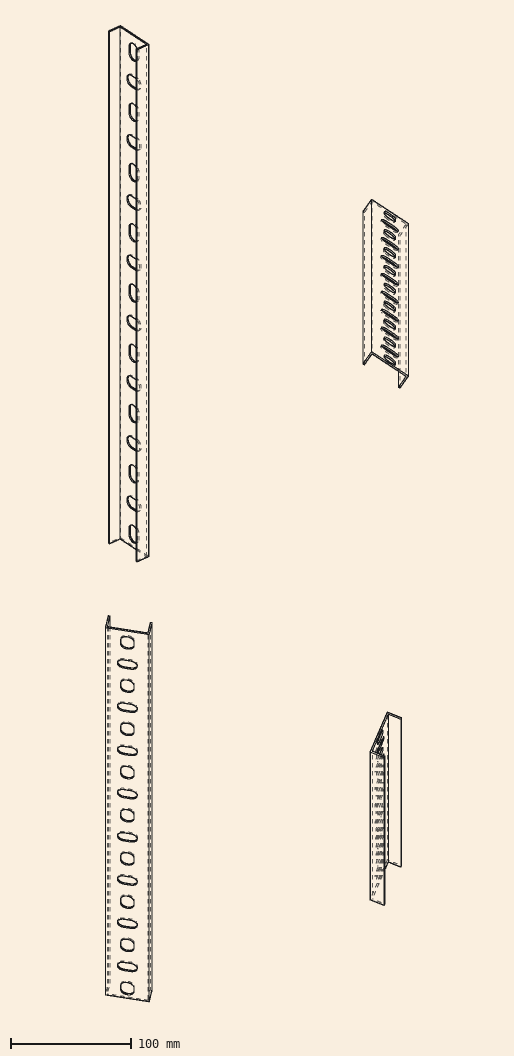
import cadquery as cq

length = 510.0
width = 37.0
depth = 13.0
thickness = 1.5

slot_count = 17
slot_length = 17.0
slot_width = 11.0
slot_pitch = length / slot_count
slot_shift = -1.5


def make_channel():
    """U channel along Z, open toward -Y, centred on the origin."""
    outer = cq.Workplane("XY").box(width, depth, length)
    cavity = (
        cq.Workplane("XY")
        .box(width - 2 * thickness, depth, length)
        .translate((0, -thickness, 0))
    )
    return outer.cut(cavity)


def make_slot(index):
    """Cutter for one web slot; even slots stand along Z, odd ones lie along X."""
    height = (index - (slot_count - 1) / 2) * slot_pitch + slot_shift
    angle = 90 if index % 2 == 0 else 0
    return (
        cq.Workplane("XZ")
        .center(0, height)
        .slot2D(slot_length, slot_width, angle)
        .extrude(depth, both=True)
    )


result = make_channel()
for slot_index in range(slot_count):
    result = result.cut(make_slot(slot_index))